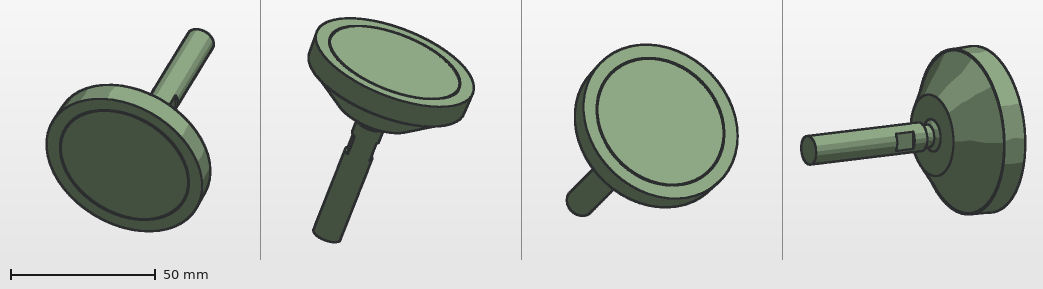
import cadquery as cq
import math

total_length = 70.0

foot_diameter = 58.0
rim_top_diameter = 57.55
rim_height = 8.25
cone_base_diameter = 56.55
cone_top_diameter = 28.3
foot_height = 20.0

groove_outer_diameter = 48.0
groove_inner_diameter = 47.5
groove_depth = 0.5

shaft_diameter = 10.0
neck_diameter = 7.8
ball_diameter = 15.0
neck_start = 21.5
shaft_start = 25.0

flat_start = 30.1
flat_length = 7.1
across_flats = 8.0

ball_radius = ball_diameter / 2
neck_radius = neck_diameter / 2
ball_center = neck_start - math.sqrt(ball_radius**2 - neck_radius**2)


def cylinder_along_y(diameter, start, length):
    """Solid cylinder on the Y axis, running from start toward +Y."""
    return cq.Workplane("XZ", origin=(0, start, 0)).circle(diameter / 2).extrude(-length)


def make_ball():
    return cq.Workplane("XY", origin=(0, ball_center, 0)).sphere(ball_radius)


def make_foot():
    """Tapered rim with a cone above it, a ring groove below and a ball socket."""
    foot = (
        cq.Workplane("XY")
        .moveTo(0, 0)
        .lineTo(foot_diameter / 2, 0)
        .lineTo(rim_top_diameter / 2, rim_height)
        .lineTo(cone_base_diameter / 2, rim_height)
        .lineTo(cone_top_diameter / 2, foot_height)
        .lineTo(0, foot_height)
        .close()
        .revolve(360, (0, 0), (0, 1))
    )
    groove_core = cylinder_along_y(groove_inner_diameter, 0, groove_depth)
    groove = cylinder_along_y(groove_outer_diameter, 0, groove_depth).cut(groove_core)
    return foot.cut(groove).cut(make_ball())


def make_flat_cutter(side):
    """Block that removes the shaft outside one wrench flat; side is -1 or +1."""
    depth = (shaft_diameter - across_flats) / 2
    center_x = side * (across_flats + depth) / 2
    center_y = flat_start + flat_length / 2
    return cq.Workplane("XY", origin=(center_x, center_y, 0)).box(depth, flat_length, shaft_diameter)


def make_stud():
    """Ball, neck and shaft in one piece, with two opposite wrench flats."""
    neck = cylinder_along_y(neck_diameter, ball_center, shaft_start - ball_center)
    shaft = cylinder_along_y(shaft_diameter, shaft_start, total_length - shaft_start)
    stud = make_ball().union(neck).union(shaft)
    for side in (-1, 1):
        stud = stud.cut(make_flat_cutter(side))
    return stud


foot = make_foot().solids()
stud = make_stud().solids()
result = cq.Compound.makeCompound([foot.val(), stud.val()])